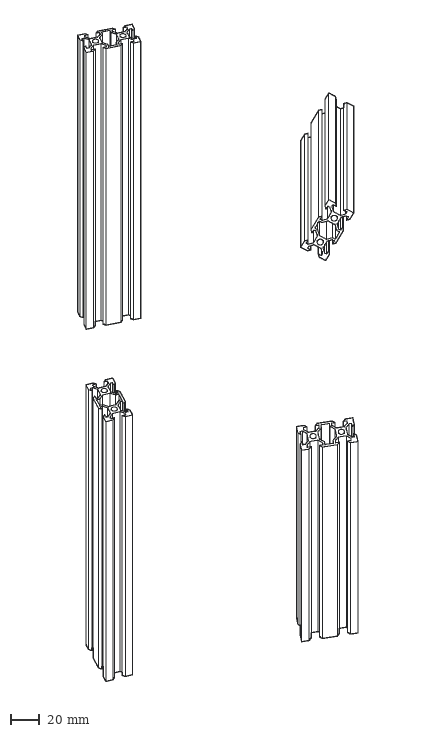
import cadquery as cq
import math

length = 250.0
module = 20.0
wall = 1.8
mouth_width = 9.2
cavity_width = 11.0
core_width = 7.8
web_thickness = 1.5
bore_diameter = 4.2
chamber_end_height = 6.0

half_module = module / 2
half_core = core_width / 2
half_cavity = cavity_width / 2
web_offset = web_thickness / math.sqrt(2)
slot_floor_half = half_core - web_offset
lip_level = half_module - wall
web_end_level = half_cavity + web_offset
half_throat = mouth_width / 2 - wall
module_centers = [(0, -half_module), (0, half_module)]


def mirrored_outline(right_side):
    """Close an outline with its mirror image across the local Y axis."""
    left_side = [(-x, y) for x, y in reversed(right_side)]
    return cq.Workplane("XY").polyline(right_side + left_side).close()


def v_slot():
    """Full-length V-slot opening toward +Y of a module centred at the origin."""
    right_side = [
        (slot_floor_half, half_core),
        (half_cavity, web_end_level),
        (half_cavity, lip_level),
        (half_throat, lip_level),
        (mouth_width / 2, half_module),
    ]
    return mirrored_outline(right_side).extrude(length)


def central_chamber():
    """Chamber between the two cores, bounded by the diagonal webs."""
    half_height = half_module - half_core
    half_end = chamber_end_height / 2
    shoulder = slot_floor_half + half_height - half_end
    right_side = [
        (slot_floor_half, -half_height),
        (shoulder, -half_end),
        (lip_level, -half_end),
        (lip_level, half_end),
        (shoulder, half_end),
        (slot_floor_half, half_height),
    ]
    return mirrored_outline(right_side).extrude(length)


body = cq.Workplane("XY").rect(module, 2 * module).extrude(length)

for x, y in module_centers:
    end_angle = 0 if y > 0 else 180
    for angle in (90, -90, end_angle):
        slot = v_slot().rotate((0, 0, 0), (0, 0, 1), angle)
        body = body.cut(slot.translate((x, y, 0)))

body = body.cut(central_chamber())

bores = cq.Workplane("XY").pushPoints(module_centers).circle(bore_diameter / 2).extrude(length)
result = body.cut(bores)